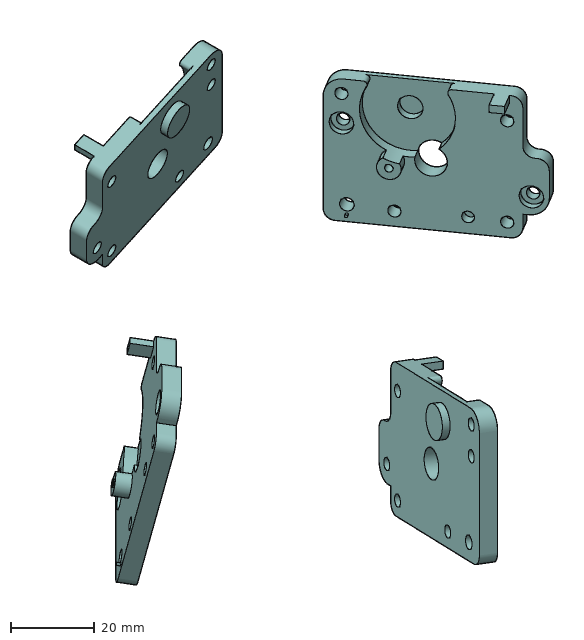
import cadquery as cq


total_length = 55.45
ear_reach = 6.5
plate_length = total_length - ear_reach
plate_height = 38.7
plate_thickness = 4.9
small_radius = 3.0
large_radius = 5.0
ear_bottom = 6.75
ear_top = 22.3

pocket_y = 28.3
pocket_z = 31.05
pocket_radius = 11.75
pocket_depth = 3.3
pocket_mouth_radius = 1.0
seat_diameter = 6.2
seat_depth = 2.5
boss_diameter = 9.05
boss_height = 2.05

post_y = 32.0
post_z = 17.85
post_diameter = 6.05
post_height = 4.05
post_hole_diameter = 2.05
lug_y = 3.25
lug_width = 3.75
lug_thickness = 2.05
lug_height = 5.75
pin_z = 2.0
pin_diameter = 0.8
pin_height = 1.0

shaft_hole_position = (22.5, 18.7)
shaft_hole_diameter = 8.0
screw_hole_diameter = 3.2
left_column_y = 44.45
right_column_y = 3.8
bottom_row_z = 4.15
screw_hole_positions = [
    (left_column_y, 34.7),
    (right_column_y, 31.7),
    (right_column_y, bottom_row_z),
    (31.5, bottom_row_z),
]
counterbore_diameter = 6.0
counterbore_depth = 2.0
counterbored_positions = [(left_column_y, 26.7), (-2.1, 11.7)]
dowel_hole_position = (43.15, 4.7)
dowel_hole_diameter = 3.55
blind_hole_position = (13.4, 4.55)
blind_hole_diameter = 3.1
blind_hole_depth = 3.0


def cylinder(position, diameter, x_start, x_end):
    """Cylinder along X centred on a (Y, Z) position."""
    return (
        cq.Workplane("YZ", origin=(x_start, 0, 0))
        .center(*position)
        .circle(diameter / 2)
        .extrude(x_end - x_start)
    )


def block(y_range, z_range, x_range):
    """Box given by its (low, high) limits along each axis."""
    sizes = [high - low for low, high in (x_range, y_range, z_range)]
    corner = (x_range[0], y_range[0], z_range[0])
    return cq.Workplane("XY").box(*sizes, centered=False).translate(corner)


def round_edge(body, y, z, radius):
    """Fillet the edge along X that passes through (Y, Z)."""
    tolerance = 0.05
    low = (-plate_thickness, y - tolerance, z - tolerance)
    high = (2 * plate_thickness, y + tolerance, z + tolerance)
    return body.edges("|X").edges(cq.selectors.BoxSelector(low, high)).fillet(radius)


def make_plate():
    thickness_range = (0, plate_thickness)
    plate = block((0, plate_length), (0, plate_height), thickness_range)
    ear = block((-ear_reach, small_radius), (ear_bottom, ear_top), thickness_range)
    plate = plate.union(ear)
    rounded_corners = [
        (plate_length, plate_height, large_radius),
        (plate_length, 0, small_radius),
        (0, 0, small_radius),
        (0, plate_height, small_radius),
        (0, ear_top, small_radius),
        (-ear_reach, ear_top, small_radius),
        (-ear_reach, ear_bottom, large_radius),
    ]
    for y, z, radius in rounded_corners:
        plate = round_edge(plate, y, z, radius)
    return plate


def cut_pocket(body):
    """Cut the round pocket, which also trims the post, and round its mouth at the top edge."""
    pocket_position = (pocket_y, pocket_z)
    body = body.cut(cylinder(pocket_position, 2 * pocket_radius, -post_height, pocket_depth))
    mouth_half_width = (pocket_radius**2 - (plate_height - pocket_z) ** 2) ** 0.5
    for side in (-1, 1):
        mouth_y = pocket_y + side * mouth_half_width
        body = round_edge(body, mouth_y, plate_height, pocket_mouth_radius)

    boss_end = plate_thickness + boss_height
    body = body.union(cylinder(pocket_position, boss_diameter, plate_thickness, boss_end))
    return body.cut(cylinder(pocket_position, seat_diameter, pocket_depth, pocket_depth + seat_depth))


def add_lug_and_pin(body):
    lug = block(
        (lug_y, lug_y + lug_width),
        (plate_height - lug_thickness, plate_height),
        (-lug_height, plate_thickness),
    )
    pin = cylinder((dowel_hole_position[0], pin_z), pin_diameter, -pin_height, plate_thickness)
    return body.union(lug).union(pin)


def cut_holes(body):
    for position in screw_hole_positions + counterbored_positions:
        body = body.cut(cylinder(position, screw_hole_diameter, 0, plate_thickness))
    for position in counterbored_positions:
        body = body.cut(cylinder(position, counterbore_diameter, 0, counterbore_depth))
    body = body.cut(cylinder(shaft_hole_position, shaft_hole_diameter, 0, plate_thickness))
    body = body.cut(cylinder(dowel_hole_position, dowel_hole_diameter, 0, plate_thickness))
    body = body.cut(cylinder(blind_hole_position, blind_hole_diameter, 0, blind_hole_depth))
    return body.cut(cylinder((post_y, post_z), post_hole_diameter, -post_height, 0))


post = cylinder((post_y, post_z), post_diameter, -post_height, plate_thickness)
result = cut_holes(add_lug_and_pin(cut_pocket(make_plate().union(post))))